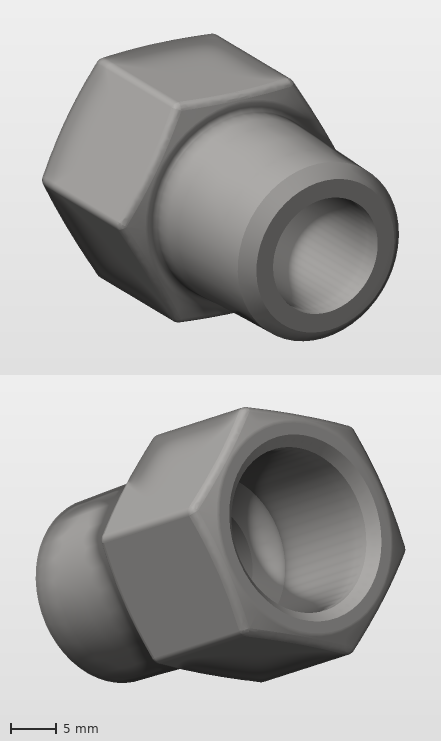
import cadquery as cq
import math

total_length = 37.0
head_length = 19.0

across_flats = 26.0
edge_round = 1.0
end_face_radius = 12.0
end_cone_angle = 20.0
cone_overshoot = 1.0

taper_ratio = 1 / 16
spigot_tip_radius = 10.4
tip_chamfer = 1.5
root_fillet = 0.5

bore_radius = 9.315
bore_mouth_radius = 10.5
bore_depth = 16.0
bore_floor_angle = 45.0
through_radius = 6.75


def revolve_about_x(points):
    """Solid of revolution about X from (x, radius) points.

    Drawn in XZ so that the seam falls mid-flat, clear of the hexagon corners.
    """
    return cq.Workplane("XZ").polyline(points).close().revolve(360, (0, 0, 0), (1, 0, 0))


def hexagon_head():
    """Hexagon with flats facing +Z and -Z, coned at both ends, all edges rounded."""
    corner_radius = across_flats / math.sqrt(3)
    hexagon = cq.Workplane("YZ").polygon(6, 2 * corner_radius).extrude(head_length)

    envelope_radius = corner_radius + cone_overshoot
    cone_length = (envelope_radius - end_face_radius) * math.tan(math.radians(end_cone_angle))
    envelope = revolve_about_x([
        (0, 0),
        (0, end_face_radius),
        (cone_length, envelope_radius),
        (head_length - cone_length, envelope_radius),
        (head_length, end_face_radius),
        (head_length, 0),
    ])
    return hexagon.intersect(envelope).edges().fillet(edge_round)


def spigot():
    """Tapered spigot with a chamfered tip and a small fillet at the head."""
    half_taper = taper_ratio / 2
    taper_end = total_length - tip_chamfer
    fillet_end = head_length + root_fillet
    root_radius = spigot_tip_radius + (taper_end - fillet_end) * half_taper
    profile = (
        cq.Workplane("XZ")
        .moveTo(head_length, 0)
        .lineTo(head_length, root_radius + root_fillet)
        .radiusArc((fillet_end, root_radius), -root_fillet)
        .lineTo(taper_end, spigot_tip_radius)
        .lineTo(total_length, spigot_tip_radius - tip_chamfer)
        .lineTo(total_length, 0)
        .close()
    )
    return profile.revolve(360, (0, 0, 0), (1, 0, 0))


def bore():
    """Stepped bore: mouth chamfer, wide bore, coned floor, through hole."""
    mouth_depth = bore_mouth_radius - bore_radius
    floor_length = (bore_radius - through_radius) * math.tan(math.radians(bore_floor_angle))
    return revolve_about_x([
        (0, 0),
        (0, bore_mouth_radius),
        (mouth_depth, bore_radius),
        (bore_depth, bore_radius),
        (bore_depth + floor_length, through_radius),
        (total_length, through_radius),
        (total_length, 0),
    ])


result = hexagon_head().union(spigot()).cut(bore())